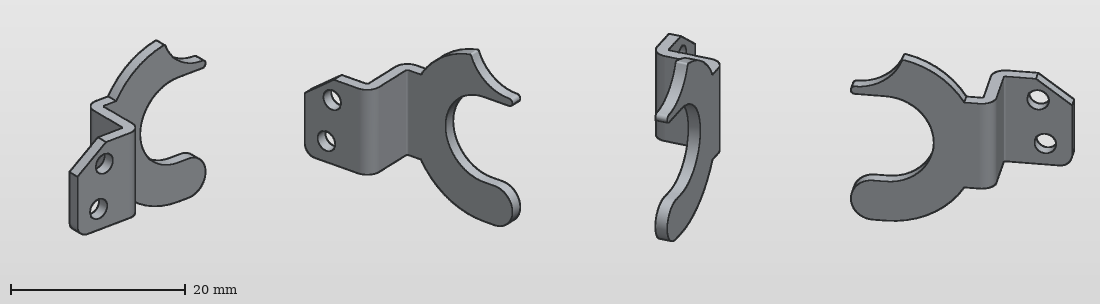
import cadquery as cq
import math


thickness = 1.5
total_offset = 8.5
bend_inner_radius = 0.22
bend_outer_radius = bend_inner_radius + thickness
web_outer_y = -12.52
web_inner_y = web_outer_y + thickness

throat_radius = 5.51
hook_radius = 10.6
lower_arm_radius = (hook_radius - throat_radius) / 2
lower_arm_y = 1.55
finger_radius = 0.5
finger_y = 3.6
relief_radius = 5.78
tip_radius = 0.25

flange_end_y = -20.4
chamfer_length = 4.2
chamfer_height = 3.09
corner_radius = 1.5
hole_diameter = 2.5
hole_positions = [(-16.46, 2.8), (-17.3, -2.8)]

front_y = lower_arm_y + lower_arm_radius


def bent_strip():
    """Z-shaped sheet section in XY, extruded to the strap height."""
    flange_x = total_offset - thickness
    section = (
        cq.Workplane("XY", origin=(0, 0, -throat_radius))
        .moveTo(0, 0)
        .lineTo(0, web_outer_y)
        .lineTo(flange_x, web_outer_y)
        .lineTo(flange_x, flange_end_y)
        .lineTo(total_offset, flange_end_y)
        .lineTo(total_offset, web_inner_y)
        .lineTo(thickness, web_inner_y)
        .lineTo(thickness, 0)
        .close()
        .extrude(2 * throat_radius)
    )
    for x, y, radius in (
        (0, web_outer_y, bend_outer_radius),
        (thickness, web_inner_y, bend_inner_radius),
        (flange_x, web_outer_y, bend_inner_radius),
        (total_offset, web_inner_y, bend_outer_radius),
    ):
        edge = section.edges(cq.selectors.NearestToPointSelector((x, y, 0)))
        section = edge.fillet(radius)
    return section


def hook_plate():
    """Hook outline in YZ: outer arc, lower arm, throat, finger and relief."""
    finger_z = throat_radius + finger_radius
    relief_z = finger_z + finger_radius + relief_radius

    span = math.hypot(finger_y, relief_z)
    along = (hook_radius**2 - relief_radius**2 + span**2) / (2 * span)
    across = math.sqrt(hook_radius**2 - along**2)
    tip_y = (along * finger_y - across * relief_z) / span
    tip_z = (along * relief_z + across * finger_y) / span

    tip_angle = math.atan2(tip_z - relief_z, tip_y - finger_y) % (2 * math.pi)
    middle_angle = (tip_angle + 1.5 * math.pi) / 2
    relief_middle = (
        finger_y + relief_radius * math.cos(middle_angle),
        relief_z + relief_radius * math.sin(middle_angle),
    )
    plate = (
        cq.Workplane("YZ")
        .moveTo(tip_y, tip_z)
        .threePointArc((-hook_radius, 0), (0, -hook_radius))
        .lineTo(lower_arm_y, -hook_radius)
        .threePointArc((front_y, -throat_radius - lower_arm_radius), (lower_arm_y, -throat_radius))
        .lineTo(0, -throat_radius)
        .threePointArc((-throat_radius, 0), (0, throat_radius))
        .lineTo(finger_y, throat_radius)
        .threePointArc((finger_y + finger_radius, finger_z), (finger_y, finger_z + finger_radius))
        .threePointArc(relief_middle, (tip_y, tip_z))
        .close()
        .extrude(thickness)
    )
    tip_edge = cq.selectors.NearestToPointSelector((thickness / 2, tip_y, tip_z))
    return plate.edges("|X").edges(tip_edge).fillet(tip_radius)


def flange_cutters():
    """Chamfered top corner and the two mounting holes."""
    top_corner = (
        cq.Workplane("YZ")
        .moveTo(flange_end_y, throat_radius)
        .lineTo(flange_end_y + chamfer_length, throat_radius)
        .lineTo(flange_end_y, throat_radius - chamfer_height)
        .close()
        .extrude(total_offset)
    )
    holes = cq.Workplane("YZ").pushPoints(hole_positions).circle(hole_diameter / 2).extrude(total_offset)
    return top_corner.union(holes)


throat = cq.Workplane("YZ").circle(throat_radius).extrude(thickness)
strip = bent_strip().cut(throat)
strip = strip.edges("|X").edges("<Y").edges("<Z").fillet(corner_radius)
result = strip.union(hook_plate()).cut(flange_cutters())